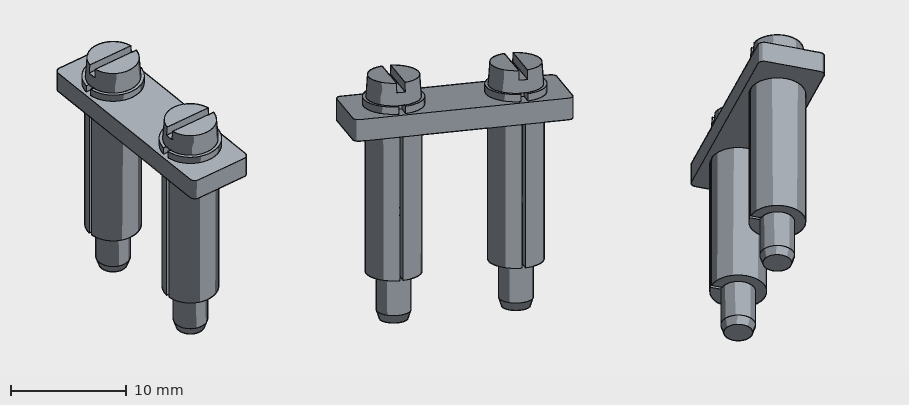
import cadquery as cq

plate_length = 19.8
plate_width = 6.0
plate_thickness = 2.0
plate_corner_radius = 0.55
screw_spacing = 11.0

overall_height = 22.5
washer_top = 20.48
plate_top = 19.8
plate_bottom = plate_top - plate_thickness
sleeve_bottom = 4.35
tip_taper_height = 0.79

head_top_diameter = 4.52
head_base_diameter = 4.82
drive_slot_width = 0.76
drive_slot_depth = 0.85
shank_diameter = 3.02
tip_diameter = 2.5

washer_diameter = 5.4
washer_gap = 0.6
sleeve_diameter = 4.93
sleeve_slit = 0.3
dent_height = 2.48
dent_depth = 0.11
dent_center_height = 11.02

notch_height = 0.7
notch_depth = 0.11
notch_center_height = 10.35


def cylinder(diameter, bottom, top):
    return cq.Workplane("XY").workplane(offset=bottom).circle(diameter / 2).extrude(top - bottom)


def front_gap(width, diameter, bottom, top):
    """Radial cutter running from the axis out through the -Y side."""
    return (
        cq.Workplane("XY")
        .workplane(offset=bottom)
        .center(0, -diameter / 2)
        .rect(width, diameter)
        .extrude(top - bottom)
    )


def make_screw():
    """Turned screw with a tapered, slotted head and a tapered tip."""
    profile = [
        (0, 0),
        (tip_diameter / 2, 0),
        (shank_diameter / 2, tip_taper_height),
        (shank_diameter / 2, washer_top),
        (head_base_diameter / 2, washer_top),
        (head_top_diameter / 2, overall_height),
        (0, overall_height),
    ]
    screw = cq.Workplane("XZ").polyline(profile).close().revolve(360, (0, 0), (0, 1))
    drive_slot = (
        cq.Workplane("XY")
        .workplane(offset=overall_height - drive_slot_depth)
        .rect(drive_slot_width, head_base_diameter)
        .extrude(drive_slot_depth)
    )
    notch = cq.Workplane("XY").box(sleeve_slit, 2 * notch_depth, notch_height)
    notch = notch.translate((0, -shank_diameter / 2, notch_center_height))
    return screw.cut(drive_slot).cut(notch)


def make_washer():
    washer = cylinder(washer_diameter, plate_top, washer_top)
    return washer.cut(front_gap(washer_gap, washer_diameter, plate_top, washer_top))


def make_sleeve():
    sleeve = cylinder(sleeve_diameter, sleeve_bottom, plate_bottom)
    slit = front_gap(sleeve_slit, sleeve_diameter, sleeve_bottom, plate_bottom)

    back = sleeve_diameter / 2
    dent = (
        cq.Workplane("YZ")
        .moveTo(back, dent_center_height - dent_height / 2)
        .threePointArc(
            (back - dent_depth, dent_center_height),
            (back, dent_center_height + dent_height / 2),
        )
        .close()
        .extrude(back, both=True)
    )
    return sleeve.cut(slit).cut(dent)


def make_plate():
    return (
        cq.Workplane("XY")
        .workplane(offset=plate_bottom)
        .rect(plate_length, plate_width)
        .extrude(plate_thickness)
        .edges("|Z")
        .fillet(plate_corner_radius)
    )


contact = make_washer().union(make_sleeve()).union(make_screw())

result = make_plate()
for side in (-1, 1):
    result = result.union(contact.translate((side * screw_spacing / 2, 0, 0)))